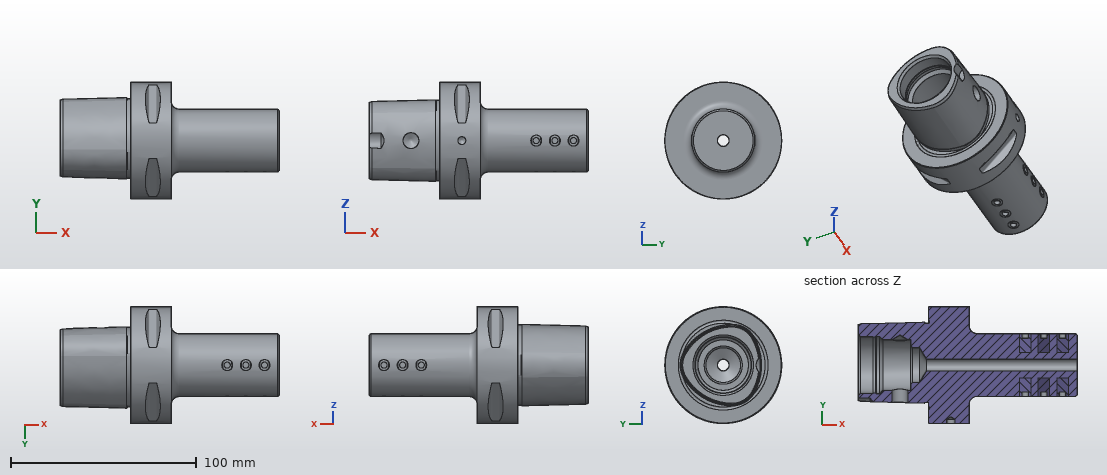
import cadquery as cq
import math


lead_in_end = 1.7
taper_end = 35.6
flange_face = 37.8
flange_back = 59.8
overall_length = 118.0

lobe_tip = 23.2
flank_middle = 20.6
lobe_half_angle = 30.0
taper_angle = math.degrees(math.atan(1 / 40))
lead_in_inset = 0.6
taper_inset = (taper_end - lead_in_end) * math.tan(math.radians(taper_angle))

neck_radius = 22.5
neck_inset = 0.2
neck_chamfer = 0.7

flange_radius = 31.5
flange_chamfer = 0.4
face_groove_outer_radius = 24.2
face_groove_depth = 0.6

slot_center = 49.9
slot_count = 4
slot_floor_distance = 28.0
slot_floor_width = 4.0
slot_wall_angle = 30.0
slot_corner_radius = 0.7
slot_overcut = 1.2

nose_radius = 17.0
nose_chamfer = 1.0
nose_fillet = 4.2

mouth_radius = 16.3
mouth_depth = 1.4
entry_radius = 15.2
entry_depth = 7.9
lip_radius = 15.0
lip_end = 9.4
catch_groove_radius = 15.3
catch_groove_end = 11.6
bore_radius = 13.6
bore_start = 13.3
bore_depth = 28.3
stop_radius = 10.3
well_radius = 9.3
well_depth = 33.0
coolant_radius = 3.1
drill_point_angle = 118.0

keyway_radius = 5.4
keyway_center = 23.1
keyway_depth = 6.4
keyway_point_angle = 105.0
cross_hole_position = 22.5
cross_hole_radius = 4.2
index_hole_radius = 2.1
index_hole_depth = 2.4

screw_rows = (90, 180, 270)
screw_count = 3
screw_pitch = 10.0
last_screw_inset = 8.0
screw_radius = 3.0
screw_end_radius = 2.5
screw_end_height = 0.1
screw_length = 10.0
socket_radius = 1.7
socket_depth = 2.5

screw_positions = [overall_length - last_screw_inset - i * screw_pitch for i in range(screw_count)]


def polar(radius, angle):
    """Point in the Y-Z section, with the angle in degrees from +Y."""
    a = math.radians(angle)
    return (radius * math.cos(a), radius * math.sin(a))


def point_length(radius, point_angle=drill_point_angle):
    """Height of a drill point of the given radius."""
    return radius / math.tan(math.radians(point_angle / 2))


def lobed_outline(x, inset):
    """Six tangent arcs, lobe and flank in turn, offset inward by the inset."""
    tip = lobe_tip - inset
    middle = flank_middle - inset
    lobe_center = (tip - middle) / (2 - math.sqrt(3))
    joint_offset_y, joint_z = polar(tip - lobe_center, lobe_half_angle)
    joint_y = lobe_center + joint_offset_y
    joint_distance = math.hypot(joint_y, joint_z)
    joint_angle = math.degrees(math.atan2(joint_z, joint_y))

    outline = cq.Workplane("YZ", origin=(x, 0, 0)).moveTo(joint_y, -joint_z)
    for lobe in (0, 120, 240):
        outline = outline.threePointArc(polar(tip, lobe), polar(joint_distance, lobe + joint_angle))
        outline = outline.threePointArc(
            polar(middle, lobe + 60), polar(joint_distance, lobe + 120 - joint_angle)
        )
    return outline.close()


def revolved(points):
    """Solid of revolution about X from (x, radius) points."""
    return cq.Workplane("XY").polyline(points).close().revolve(360, (0, 0, 0), (1, 0, 0))


def drill(radius, depth, point_angle=drill_point_angle):
    """Drilling tool along +X from the origin, with a conical point past the depth."""
    tip = depth + point_length(radius, point_angle)
    return revolved([(0, 0), (0, radius), (depth, radius), (tip, 0)])


def shank():
    lead_in_angle = math.degrees(math.atan(lead_in_inset / lead_in_end))
    lead_in = lobed_outline(0, taper_inset + lead_in_inset).extrude(lead_in_end, taper=-lead_in_angle)
    taper = lobed_outline(lead_in_end, taper_inset).extrude(taper_end - lead_in_end, taper=-taper_angle)
    neck_length = flange_face - taper_end
    neck = lobed_outline(taper_end, neck_inset).extrude(neck_length)
    trim = revolved(
        [
            (taper_end, 0),
            (taper_end, neck_radius + neck_chamfer),
            (taper_end + neck_chamfer, neck_radius),
            (flange_face, neck_radius),
            (flange_face, 0),
        ]
    )
    return lead_in.union(taper).union(neck.intersect(trim))


def flange_and_nose():
    profile = (
        cq.Workplane("XY")
        .moveTo(flange_face, 0)
        .lineTo(flange_face, flange_radius - flange_chamfer)
        .lineTo(flange_face + flange_chamfer, flange_radius)
        .lineTo(flange_back, flange_radius)
        .lineTo(flange_back, nose_radius + nose_fillet)
        .radiusArc((flange_back + nose_fillet, nose_radius), -nose_fillet)
        .lineTo(overall_length - nose_chamfer, nose_radius)
        .lineTo(overall_length, nose_radius - nose_chamfer)
        .lineTo(overall_length, 0)
        .close()
    )
    return profile.revolve(360, (0, 0, 0), (1, 0, 0))


def face_groove():
    """Shallow round-bottomed ring groove in the flange face around the neck."""
    middle = (flange_face + face_groove_depth, (neck_radius + face_groove_outer_radius) / 2)
    return (
        cq.Workplane("XY")
        .moveTo(flange_face, neck_radius)
        .threePointArc(middle, (flange_face, face_groove_outer_radius))
        .close()
        .revolve(360, (0, 0, 0), (1, 0, 0))
    )


def gripper_slots():
    """Slots with slanted walls across the rim, at 45 degrees between the Y and Z axes."""
    height = flange_radius - slot_floor_distance + slot_overcut
    half_floor = slot_floor_width / 2
    half_top = half_floor + height * math.tan(math.radians(slot_wall_angle))
    cutter = (
        cq.Workplane("XZ", origin=(slot_center, 0, slot_floor_distance))
        .polyline([(-half_floor, 0), (half_floor, 0), (half_top, height), (-half_top, height)])
        .close()
        .extrude(flange_radius, both=True)
        .faces("<Z")
        .edges("|Y")
        .fillet(slot_corner_radius)
    )
    slots = cq.Workplane("XY")
    for i in range(slot_count):
        slots = slots.add(cutter.rotate((0, 0, 0), (1, 0, 0), 45 + i * 360 / slot_count))
    return slots.combine()


def shank_bore():
    lip_step = entry_radius - lip_radius
    groove_step = catch_groove_radius - lip_radius
    well_chamfer = stop_radius - well_radius
    well_tip = well_depth + point_length(well_radius) - point_length(coolant_radius)
    return revolved(
        [
            (0, 0),
            (0, mouth_radius),
            (mouth_depth, entry_radius),
            (entry_depth, entry_radius),
            (entry_depth + lip_step, lip_radius),
            (lip_end, lip_radius),
            (lip_end + groove_step, catch_groove_radius),
            (catch_groove_end, catch_groove_radius),
            (bore_start, bore_radius),
            (bore_depth, bore_radius),
            (bore_depth, stop_radius),
            (bore_depth + well_chamfer, well_radius),
            (well_depth, well_radius),
            (well_tip, coolant_radius),
            (overall_length, coolant_radius),
            (overall_length, 0),
        ]
    )


def side_drill(x, radius, outer_radius, depth):
    """Drilling into the -Y side, starting at the given radius."""
    return drill(radius, depth).rotate((0, 0, 0), (0, 0, 1), 90).translate((x, -outer_radius, 0))


def at_screw_places(make_body):
    """One copy of a +Z pointing body at every screw place."""
    return [
        make_body(x).rotate((0, 0, 0), (1, 0, 0), row)
        for row in screw_rows
        for x in screw_positions
    ]


def screw_envelope(x):
    """Screw body without its socket, its slightly coned outer end level with the nose."""
    shoulder = nose_radius - screw_end_height
    return (
        cq.Workplane("XZ", origin=(x, 0, 0))
        .polyline(
            [
                (0, nose_radius - screw_length),
                (screw_radius, nose_radius - screw_length),
                (screw_radius, shoulder),
                (screw_end_radius, nose_radius),
                (0, nose_radius),
            ]
        )
        .close()
        .revolve(360, (0, 0, 0), (0, 1, 0))
    )


def set_screw(x):
    """Screw body with a round socket in its outer end."""
    socket = cq.Workplane("XY", origin=(x, 0, nose_radius)).circle(socket_radius).extrude(-socket_depth)
    return screw_envelope(x).cut(socket)


def holder():
    keyway = drill(keyway_radius, keyway_depth, keyway_point_angle).translate((0, -keyway_center, 0))
    cross_hole_depth = lobe_tip + bore_radius
    body = shank().union(flange_and_nose())
    cutters = [
        face_groove().cut(shank()),
        gripper_slots(),
        shank_bore(),
        keyway,
        side_drill(cross_hole_position, cross_hole_radius, lobe_tip, cross_hole_depth),
        side_drill(slot_center, index_hole_radius, flange_radius, index_hole_depth),
        *at_screw_places(screw_envelope),
    ]
    for cutter in cutters:
        body = body.cut(cutter)
    return body


tool_holder = holder()
set_screws = at_screw_places(set_screw)

result = cq.Compound.makeCompound([tool_holder.val(), *[screw.val() for screw in set_screws]])